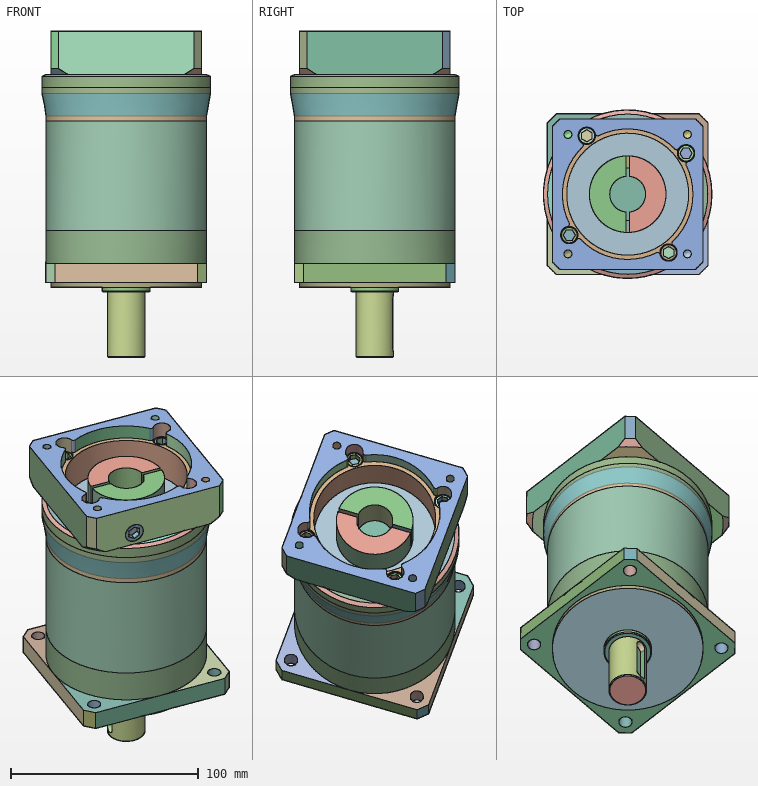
import cadquery as cq
import math


tolerance = 0.002

top_level = 174.0
adapter_bottom = 143.9
input_housing_bottom = 126.2
ring_gear_bottom = 67.5

body_width = 85.8
body_radius = body_width / 2
collar_radius = 90.0 / 2

plate_width = 80.4
plate_corner_chamfer = 4.0
plate_thickness = 23.1
plate_bottom = top_level - plate_thickness
plate_cone_height = 3.1
plate_cone_radius = 54.0
plate_cone_bottom_radius = 50.8
collar_chamfer_height = 1.0
collar_chamfer_width = 2.3

pilot_bore_radius = 34.8
pilot_bore_depth = 7.8
pilot_bore_floor = top_level - pilot_bore_depth
cavity_radius = 32.5
cavity_depth = 27.3
cavity_floor = top_level - cavity_depth

motor_hole_spacing = 63.7
motor_hole_diameter = 4.2
motor_hole_depth = 14.0
drill_tip_angle = 118.0

cap_screw_count = 4
cap_screw_circle_radius = 76.0 / 2
cap_screw_first_angle = 35.0
cap_screw_pocket_radius = 9.2 / 2
cap_screw_pocket_fillet = 1.4
cap_screw_sink = 1.2
cap_screw_floor = pilot_bore_floor - cap_screw_sink
cap_screw_head_radius = 4.2
cap_screw_head_height = 0.5
cap_screw_hex = 5.5
cap_screw_hex_depth = 4.4

plug_y = 14.0
plug_z = 158.0
plug_radius = 5.2
plug_recess = 0.2
plug_hex = 6.3
plug_hex_depth = 3.5

hub_radius = 40.9 / 2
hub_top = 164.3
hub_bore_radius = 9.5
slit_width = 2.0
slit_step_radius = 14.0
slit_step_height = 3.5

cone_top = 140.6
cone_bottom = 128.8

flange_width = body_width
flange_corner_chamfer = 4.9
flange_top = 50.1
flange_bottom = 39.8
flange_hole_spacing = 70.6
flange_hole_diameter = 7.0
spigot_radius = 40.2
spigot_bottom = 37.2
shoulder_radius = 25.5 / 2
shoulder_bottom = 34.8
shaft_radius = 10.1
shaft_chamfer = 0.5
keyway_width = 6.0
keyway_depth = 3.5
keyway_length = 31.0
keyway_start = 2.6


def cylinder(radius, bottom, top):
    """A cylinder on the Z axis between two levels."""
    return cq.Workplane("XY").workplane(offset=bottom).circle(radius).extrude(top - bottom)


def square_plate(width, corner_chamfer, bottom, top):
    """A square plate centred on the Z axis, with chamfered vertical edges."""
    plate = cq.Workplane("XY").workplane(offset=bottom).rect(width, width).extrude(top - bottom)
    return plate.edges("|Z").chamfer(corner_chamfer)


def hexagon_diameter(across_flats):
    """The diameter across the corners of a hexagon."""
    return across_flats / math.cos(math.pi / 6)


def adapter_blank():
    """The square plate, coned off at its lower corners, on its chamfered collar."""
    plate = square_plate(plate_width, plate_corner_chamfer, plate_bottom, top_level)
    envelope = (
        cq.Workplane("XZ")
        .moveTo(0, plate_bottom)
        .lineTo(plate_cone_bottom_radius, plate_bottom)
        .lineTo(plate_cone_radius, plate_bottom + plate_cone_height)
        .lineTo(plate_width, plate_bottom + plate_cone_height)
        .lineTo(plate_width, top_level)
        .lineTo(0, top_level)
        .close()
        .revolve()
    )
    collar = (
        cq.Workplane("XZ")
        .moveTo(0, adapter_bottom)
        .lineTo(collar_radius, adapter_bottom)
        .lineTo(collar_radius, plate_bottom - collar_chamfer_height)
        .lineTo(collar_radius - collar_chamfer_width, plate_bottom)
        .lineTo(0, plate_bottom)
        .close()
        .revolve()
    )
    return plate.intersect(envelope).union(collar)


def at_cap_screws(shape):
    """Copies of a shape, placed at the +X side of the cap screw circle, at every cap screw."""
    copies = cq.Workplane("XY")
    for index in range(cap_screw_count):
        angle = cap_screw_first_angle + index * 360 / cap_screw_count
        copies = copies.add(shape.rotate((0, 0, 0), (0, 0, 1), angle))
    return copies.combine()


def cap_screw_cylinder(radius, bottom, top):
    """A cylinder at the +X side of the cap screw circle."""
    return cylinder(radius, bottom, top).translate((cap_screw_circle_radius, 0, 0))


def lies_on_pilot_bore(edge):
    """Whether the middle of an edge lies on the wall of the pilot bore."""
    middle = edge.Center()
    return abs(math.hypot(middle.x, middle.y) - pilot_bore_radius) < tolerance


def motor_recess():
    """The space inside the adapter: pilot bore with screw pockets, and the cavity below it."""
    pilot_bore = cylinder(pilot_bore_radius, pilot_bore_floor, top_level)
    pocket = cap_screw_cylinder(cap_screw_pocket_radius, pilot_bore_floor, top_level)
    sink = cap_screw_cylinder(cap_screw_pocket_radius, cap_screw_floor, pilot_bore_floor)
    recess = pilot_bore.union(at_cap_screws(pocket))
    recess = recess.edges("|Z").filter(lies_on_pilot_bore).fillet(cap_screw_pocket_fillet)
    recess = recess.union(at_cap_screws(sink))
    return recess.union(cylinder(cavity_radius, cavity_floor, pilot_bore_floor))


def motor_holes():
    """Blind drilled holes with conical ends, in a square pattern in the top of the plate."""
    radius = motor_hole_diameter / 2
    tip_height = radius / math.tan(math.radians(drill_tip_angle / 2))
    straight_end = top_level - motor_hole_depth
    drill = (
        cq.Workplane("XZ")
        .moveTo(0, straight_end - tip_height)
        .lineTo(radius, straight_end)
        .lineTo(radius, top_level)
        .lineTo(0, top_level)
        .close()
        .revolve()
    )
    places = cq.Workplane("XY").rect(motor_hole_spacing, motor_hole_spacing, forConstruction=True)
    return places.vertices().eachpoint(lambda place: drill.val().moved(place))


def clamping_hub():
    """The hub in the cavity, bored for the motor shaft and slit along Y.

    The slit is deeper near the bore than at the rim.
    """
    hub = cylinder(hub_radius, cavity_floor, hub_top)
    hub = hub.cut(cylinder(hub_bore_radius, cavity_floor, hub_top))
    slit = cq.Workplane("XY").workplane(offset=cavity_floor + slit_step_height)
    slit = slit.rect(slit_width, 2 * hub_radius).extrude(hub_top - cavity_floor)
    inner_slit = cq.Workplane("XY").workplane(offset=cavity_floor)
    inner_slit = inner_slit.rect(slit_width, 2 * slit_step_radius).extrude(slit_step_height)
    return hub.cut(slit).cut(inner_slit)


def cut_screw_plug(adapter):
    """Mark the screw plug in the -X side: a shallow round recess around a hexagon socket."""
    side = cq.Workplane("YZ", origin=(-plate_width / 2, plug_y, plug_z))
    recess = side.circle(plug_radius).extrude(plug_recess)
    socket = side.transformed(rotate=(0, 0, 90)).polygon(6, hexagon_diameter(plug_hex))
    socket = socket.extrude(plug_hex_depth)
    return adapter.cut(recess).cut(socket)


def make_adapter():
    """The motor adapter with its clamping hub and screw heads."""
    head_top = cap_screw_floor + cap_screw_head_height
    head = cap_screw_cylinder(cap_screw_head_radius, cap_screw_floor, head_top)
    socket = (
        cq.Workplane("XY", origin=(cap_screw_circle_radius, 0, head_top))
        .transformed(rotate=(0, 0, -cap_screw_first_angle))
        .polygon(6, hexagon_diameter(cap_screw_hex))
        .extrude(-cap_screw_hex_depth)
    )
    adapter = adapter_blank().cut(motor_recess()).cut(motor_holes())
    adapter = adapter.union(clamping_hub()).union(at_cap_screws(head)).cut(at_cap_screws(socket))
    return cut_screw_plug(adapter)


def make_input_housing():
    """A round housing that tapers from the collar down to the ring gear."""
    profile = (
        cq.Workplane("XZ")
        .moveTo(0, input_housing_bottom)
        .lineTo(body_radius, input_housing_bottom)
        .lineTo(body_radius, cone_bottom)
        .lineTo(collar_radius, cone_top)
        .lineTo(collar_radius, adapter_bottom)
        .lineTo(0, adapter_bottom)
        .close()
    )
    return profile.revolve()


def make_ring_gear():
    """The plain round ring gear."""
    return cylinder(body_radius, ring_gear_bottom, input_housing_bottom)


def keyway():
    """A round-ended slot along the +Y side of the shaft."""
    middle = keyway_start + keyway_length / 2
    side = cq.Workplane("XZ", origin=(0, shaft_radius, middle))
    return side.slot2D(keyway_length, keyway_width, 90).extrude(keyway_depth)


def make_output_housing():
    """The output housing: round body, square flange, spigot and keyed output shaft."""
    housing = cylinder(body_radius, flange_top, ring_gear_bottom)
    flange = square_plate(flange_width, flange_corner_chamfer, flange_bottom, flange_top)
    flange_holes = (
        cq.Workplane("XY")
        .workplane(offset=flange_bottom)
        .rect(flange_hole_spacing, flange_hole_spacing, forConstruction=True)
        .vertices()
        .circle(flange_hole_diameter / 2)
        .extrude(flange_top - flange_bottom)
    )
    spigot = cylinder(spigot_radius, spigot_bottom, flange_bottom)
    shoulder = cylinder(shoulder_radius, shoulder_bottom, spigot_bottom)
    shoulder = shoulder.faces("<Z").chamfer(shaft_chamfer)
    shaft = cylinder(shaft_radius, 0, shoulder_bottom).faces("<Z").chamfer(shaft_chamfer).cut(keyway())
    return housing.union(flange.cut(flange_holes)).union(spigot).union(shoulder).union(shaft)


adapter = make_adapter()
input_housing = make_input_housing()
ring_gear = make_ring_gear()
output_housing = make_output_housing()

result = cq.Compound.makeCompound(
    [adapter.val(), input_housing.val(), ring_gear.val(), output_housing.val()]
)